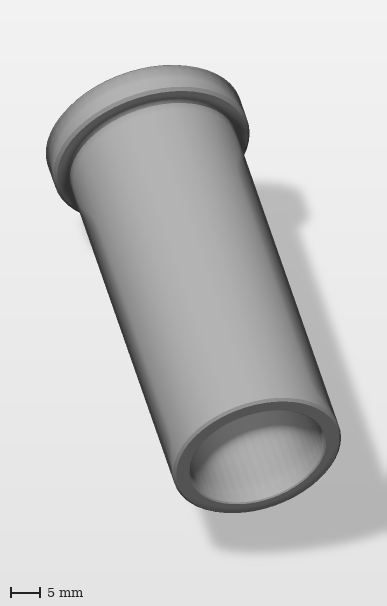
import cadquery as cq

total_length = 75.0
bore_diameter = 24.0
bore_chamfer = 0.2

head_diameter = 35.0
head_length = 6.0
head_chamfer = 0.5

body_diameter = 30.0
body_end_chamfer = 0.45
groove_width = 1.0


def cylinder(diameter, start, end):
    """Solid cylinder on the X axis between two X positions."""
    return cq.Workplane("YZ", origin=(start, 0, 0)).circle(diameter / 2).extrude(end - start)


head = cylinder(head_diameter, 0, head_length).edges("%CIRCLE").chamfer(head_chamfer)

body = cylinder(body_diameter, head_length, total_length)
body = body.faces(">X").edges().chamfer(body_end_chamfer)

body_radius = body_diameter / 2
groove_radius = groove_width / 2
groove = (
    cq.Workplane("XY")
    .center(head_length + groove_radius, body_radius)
    .circle(groove_radius)
    .revolve(360, (0, -body_radius, 0), (1, -body_radius, 0))
)
body = body.cut(groove)

bore = cylinder(bore_diameter, 0, total_length)
bush = head.union(body).cut(bore)
bore_rims = bush.faces("<X or >X").edges(cq.selectors.RadiusNthSelector(0))
result = bore_rims.chamfer(bore_chamfer)